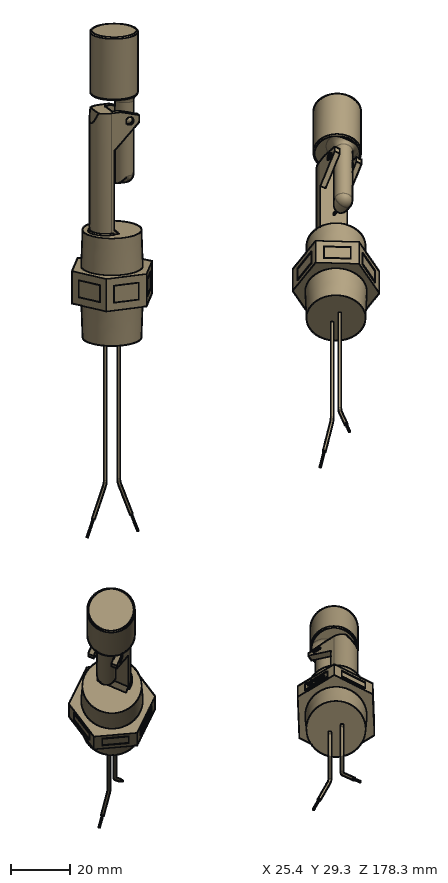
import cadquery as cq
import math


hex_across_flats = 25.4
hex_bottom = 13.7
hex_height = 11.5
hex_top = hex_bottom + hex_height
hex_mid = hex_bottom + hex_height / 2
fitting_top = 38.1
thread_radius_at_hex = 10.45
thread_radius_at_end = 10.0

pocket_length = 9.0
pocket_height = 6.0
pocket_depth = 0.2

arrow_length = 6.6
arrow_head_length = 3.0
arrow_head_width = 4.7
arrow_shaft_width = 1.3

stem_radius = 5.35
stem_y = -2.45
stem_flat_y = -1.35
stem_top = 81.1
stem_back = stem_y - stem_radius
stem_base_flare = 0.5
flat_foot_size = 1.7
top_bevel_depth = 1.35
top_bevel_height = 4.3

peg_radius = 0.35
peg_length = 1.1
peg_z = 56.1

ear_tip_y = 7.75
ear_tip_bottom = 76.8
ear_tip_top = 79.25
ear_slope_end_y = 1.0
slot_width = 6.6

lever_radius = 3.2
lever_y = 4.5
lever_bottom = 54.4
float_radius = 8.1
float_y = 0.75
float_bottom = 86.2
float_height = 22.4
float_edge_chamfer = 0.5
neck_fillet = 2.6
pivot_radius = 1.4
pivot_y = 4.3
pivot_z = 77.6

wire_y = 2.44
wire_radius = 0.55
conductor_radius = 0.3
wire_bend_z = -50.2
wire_bend_radius = 7.0
wire_end_z = -69.58
splay_angle = 20.7
splay_twist = 4.0
insulation_end_z = -63.5


def upright_cylinder(radius, y, bottom, top):
    return cq.Workplane("XY", origin=(0, y, bottom)).circle(radius).extrude(top - bottom)


def make_fitting():
    """Tapered threads as plain cones, with the hexagon's corners on the Y axis."""
    threads = (
        cq.Workplane("XZ")
        .polyline([
            (0, 0),
            (thread_radius_at_end, 0),
            (thread_radius_at_hex, hex_bottom),
            (thread_radius_at_hex, hex_top),
            (thread_radius_at_end, fitting_top),
            (0, fitting_top),
        ])
        .close()
        .revolve(360, (0, 0), (0, 1))
    )
    hexagon = (
        cq.Workplane("XY", origin=(0, 0, hex_bottom))
        .polygon(6, hex_across_flats, circumscribed=True)
        .extrude(hex_height)
    )
    pocket_floor = hex_across_flats / 2 - pocket_depth
    pocket = (
        cq.Workplane("YZ", origin=(pocket_floor, 0, hex_mid))
        .rect(pocket_length, pocket_height)
        .extrude(pocket_depth)
    )
    for face in range(6):
        hexagon = hexagon.cut(pocket.rotate((0, 0, 0), (0, 0, 1), 60 * face))
    return threads.union(hexagon).union(make_arrow(pocket_floor))


def make_arrow(pocket_floor):
    """Arrow on the -X face, pointing toward +Y."""
    tip_y = arrow_length / 2
    head_y = tip_y - arrow_head_length
    half_head = arrow_head_width / 2
    half_shaft = arrow_shaft_width / 2
    return (
        cq.Workplane("YZ", origin=(-pocket_floor, 0, hex_mid))
        .polyline([
            (tip_y, 0),
            (head_y, half_head),
            (head_y, half_shaft),
            (-tip_y, half_shaft),
            (-tip_y, -half_shaft),
            (head_y, -half_shaft),
            (head_y, -half_head),
        ])
        .close()
        .extrude(-pocket_depth)
    )


def make_stem_slab(radius, height, taper=0):
    """Upright slab on the fitting: round on the -Y side, straight sides up to the flat on the +Y side."""
    return (
        cq.Workplane("XY", origin=(0, 0, fitting_top))
        .moveTo(radius, stem_flat_y)
        .lineTo(radius, stem_y)
        .threePointArc((0, stem_y - radius), (-radius, stem_y))
        .lineTo(-radius, stem_flat_y)
        .close()
        .extrude(height, taper=taper)
    )


def make_stem():
    column = make_stem_slab(stem_radius, stem_top - fitting_top)
    base_flare = make_stem_slab(stem_radius + stem_base_flare, stem_base_flare, taper=45)
    top_bevel = (
        cq.Workplane("YZ")
        .polyline([
            (stem_back, stem_top - top_bevel_height),
            (stem_back, stem_top),
            (stem_back + top_bevel_depth, stem_top),
        ])
        .close()
        .extrude(stem_radius, both=True)
    )
    flat_foot = (
        cq.Workplane("YZ")
        .polyline([
            (stem_flat_y, fitting_top),
            (stem_flat_y + flat_foot_size, fitting_top),
            (stem_flat_y, fitting_top + flat_foot_size),
        ])
        .close()
        .extrude(stem_radius, both=True)
    )
    peg = cq.Workplane("XZ", origin=(0, stem_flat_y, peg_z)).circle(peg_radius).extrude(-peg_length)
    return column.cut(top_bevel).union(base_flare).union(flat_foot).union(peg)


def make_ears():
    diagonal_end_z = ear_tip_bottom - (ear_tip_y - stem_flat_y)
    plate = (
        cq.Workplane("YZ")
        .polyline([
            (stem_flat_y, diagonal_end_z),
            (ear_tip_y, ear_tip_bottom),
            (ear_tip_y, ear_tip_top),
            (ear_slope_end_y, stem_top),
            (stem_flat_y, stem_top),
        ])
        .close()
        .extrude(stem_radius, both=True)
    )
    slot = (
        cq.Workplane("XZ", origin=(0, stem_flat_y, 0))
        .moveTo(-slot_width / 2, diagonal_end_z)
        .lineTo(slot_width / 2, diagonal_end_z)
        .lineTo(slot_width / 2, stem_top)
        .lineTo(-slot_width / 2, stem_top)
        .close()
        .extrude(stem_flat_y - ear_tip_y)
    )
    pivot_hole = (
        cq.Workplane("YZ")
        .center(pivot_y, pivot_z)
        .circle(pivot_radius)
        .extrude(stem_radius, both=True)
    )
    return plate.cut(slot).cut(pivot_hole)


def make_housing():
    body = make_fitting().union(make_stem())
    return body.union(make_ears())


def make_lever_arm():
    """Round bar; its lower end is a dome on the +Y side and a half-round roll on the -Y side."""
    dome_z = lever_bottom + lever_radius
    bar = upright_cylinder(lever_radius, lever_y, dome_z, float_bottom)
    dome = cq.Workplane("XY").sphere(lever_radius).translate((0, lever_y, dome_z))
    roll = (
        cq.Workplane("XZ", origin=(0, lever_y, dome_z))
        .circle(lever_radius)
        .extrude(lever_radius)
        .intersect(upright_cylinder(lever_radius, lever_y, lever_bottom, dome_z))
    )
    return bar.union(dome).union(roll)


def make_neck_flare():
    """Concave flare where the arm meets the float, trimmed to the float's outline."""
    flare_radius = lever_radius + neck_fillet
    flare_bottom = float_bottom - neck_fillet
    arc_offset = neck_fillet * (1 - math.sqrt(0.5))
    flare = (
        cq.Workplane("XZ", origin=(0, lever_y, 0))
        .moveTo(0, flare_bottom)
        .lineTo(lever_radius, flare_bottom)
        .threePointArc((lever_radius + arc_offset, float_bottom - arc_offset), (flare_radius, float_bottom))
        .lineTo(0, float_bottom)
        .close()
        .revolve(360, (0, 0), (0, 1))
    )
    float_outline = upright_cylinder(float_radius - float_edge_chamfer, float_y, flare_bottom, float_bottom)
    return flare.intersect(float_outline)


def make_pivot():
    """Cross pin with hemispherical ends that finish flush with the ears."""
    shoulder_x = stem_radius - pivot_radius
    arc_mid_offset = pivot_radius * math.sqrt(0.5)
    arc_mid = (arc_mid_offset, shoulder_x + arc_mid_offset)
    half = (
        cq.Workplane("XY")
        .lineTo(pivot_radius, 0)
        .lineTo(pivot_radius, shoulder_x)
        .threePointArc(arc_mid, (0, stem_radius))
        .close()
        .revolve(360, (0, 0), (0, 1))
    )
    half = half.rotate((0, 0, 0), (0, 0, 1), 90)
    pin = half.union(half.mirror("YZ"))
    return pin.translate((0, pivot_y, pivot_z))


def make_float_lever():
    float_top = float_bottom + float_height
    float_cylinder = upright_cylinder(float_radius, float_y, float_bottom, float_top)
    float_cylinder = float_cylinder.edges("%CIRCLE").chamfer(float_edge_chamfer)
    return float_cylinder.union(make_neck_flare()).union(make_lever_arm()).union(make_pivot())


splay = math.radians(splay_angle)
bend_end_y = wire_y + wire_bend_radius * (1 - math.cos(splay))
bend_end_z = wire_bend_z - wire_bend_radius * math.sin(splay)


def splayed_point(z):
    """Point at height z on the straight splayed run of the +Y wire."""
    return bend_end_y + (bend_end_z - z) * math.tan(splay), z


def make_insulation(side):
    bend_mid_y = wire_y + wire_bend_radius * (1 - math.cos(splay / 2))
    bend_mid_z = wire_bend_z - wire_bend_radius * math.sin(splay / 2)
    end_y, end_z = splayed_point(insulation_end_z)
    path = (
        cq.Workplane("YZ")
        .moveTo(side * wire_y, 0)
        .lineTo(side * wire_y, wire_bend_z)
        .threePointArc((side * bend_mid_y, bend_mid_z), (side * bend_end_y, bend_end_z))
        .lineTo(side * end_y, end_z)
    )
    return cq.Workplane("XY").center(0, side * wire_y).circle(wire_radius).sweep(path)


def make_conductor(side):
    start_y, start_z = splayed_point(insulation_end_z)
    end_y, end_z = splayed_point(wire_end_z)
    axis = cq.Vector(0, side * (end_y - start_y), end_z - start_z)
    start = cq.Vector(0, side * start_y, start_z)
    return cq.Workplane(cq.Solid.makeCylinder(conductor_radius, axis.Length, start, axis))


def twist_splay(wire, side):
    """Turn a wire about its own upright run so that its splayed end drifts toward +X."""
    return wire.rotate((0, side * wire_y, 0), (0, side * wire_y, 1), -side * splay_twist)


housing = make_housing()
float_lever = make_float_lever()
wires = []
for side in (1, -1):
    wires.append(twist_splay(make_insulation(side), side).val())
    wires.append(twist_splay(make_conductor(side), side).val())

result = cq.Compound.makeCompound([housing.val(), float_lever.val(), *wires])